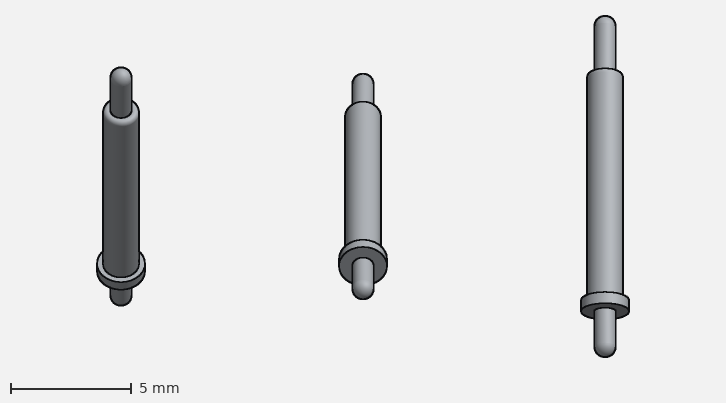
import cadquery as cq

total_length = 15.0
tail_length = 2.0
flange_thickness = 0.5
barrel_length = 10.0

pin_diameter = 0.9
barrel_diameter = 1.5
flange_diameter = 2.0

barrel_rim_fillet = 0.2

pin_radius = pin_diameter / 2
flange_top = tail_length + flange_thickness
tip_centre_height = total_length - pin_radius

pin = (
    cq.Workplane("XY")
    .workplane(offset=pin_radius)
    .circle(pin_radius)
    .extrude(tip_centre_height - pin_radius)
)
for end_height in (pin_radius, tip_centre_height):
    pin = pin.union(cq.Workplane("XY", origin=(0, 0, end_height)).sphere(pin_radius))

flange = (
    cq.Workplane("XY")
    .workplane(offset=tail_length)
    .circle(flange_diameter / 2)
    .extrude(flange_thickness)
)

barrel = (
    cq.Workplane("XY")
    .workplane(offset=flange_top)
    .circle(barrel_diameter / 2)
    .extrude(barrel_length)
    .faces(">Z")
    .edges()
    .fillet(barrel_rim_fillet)
)

result = pin.union(flange).union(barrel)